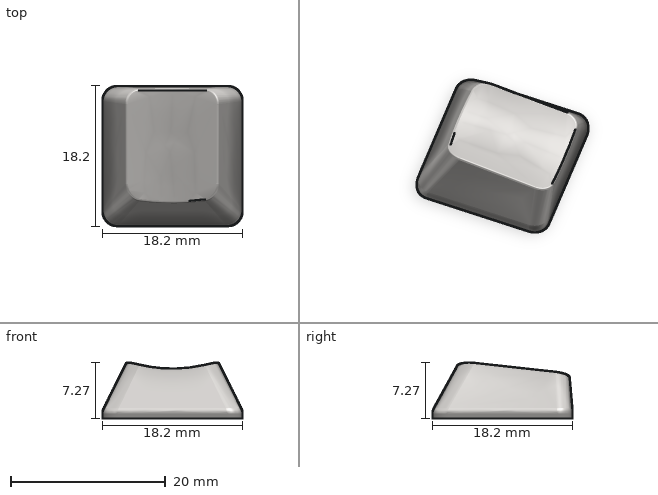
import cadquery as cq
import math

base_size = 18.16
corner_radius = 2.0
skirt_height = 0.65
blend_height = 0.73
blend_sections = 4

top_width = 11.8
top_front = -5.45
top_back = 8.65
top_tilt = 6.4
top_height = 7.0

dish_front_radius = 16.35
dish_front_bottom = 6.81
dish_back_radius = 21.07
dish_back_bottom = 5.03

rim_radius = 0.29

tilt_angle = math.radians(top_tilt)
tilt_cos = math.cos(tilt_angle)
tilt_tan = math.tan(tilt_angle)
half_base = base_size / 2

bend_height = skirt_height + blend_height / 2
side_lean = (half_base - top_width / 2) / (top_height - bend_height)
front_lean = (half_base + top_front) / (top_height - top_front * tilt_tan - bend_height)
back_lean = (half_base - top_back) / (top_height - top_back * tilt_tan - bend_height)


def rounded_outline(plane, width, front, back):
    """Rounded rectangle centred on X, reaching from front to back along the plane's Y."""
    outline = cq.Sketch().rect(width, back - front).vertices().fillet(corner_radius).reset()
    centred = outline.moved(cq.Location(cq.Vector(0, (front + back) / 2, 0)))
    return centred.faces().val().moved(plane.location).outerWire()


def blend_outline(fraction):
    """Outline partway up the bend; the inset is a parabola, tangent to skirt and walls."""
    run = blend_height / 2 * fraction**2
    plane = cq.Plane(origin=(0, 0, skirt_height + blend_height * fraction))
    return rounded_outline(
        plane,
        base_size - 2 * side_lean * run,
        front_lean * run - half_base,
        half_base - back_lean * run,
    )


def make_body():
    tilted = cq.Plane(
        origin=(0, 0, top_height),
        xDir=(1, 0, 0),
        normal=(0, math.sin(tilt_angle), tilt_cos),
    )
    base = rounded_outline(cq.Plane.XY(), base_size, -half_base, half_base)
    top = rounded_outline(tilted, top_width, top_front / tilt_cos, top_back / tilt_cos)
    bends = [blend_outline(i / (blend_sections - 1)) for i in range(blend_sections)]

    skirt = cq.Solid.makeLoft([base, bends[0]], True)
    bend = cq.Solid.makeLoft(bends)
    walls = cq.Solid.makeLoft([bends[-1], top], True)
    return cq.Workplane(skirt).union(cq.Workplane(bend)).union(cq.Workplane(walls))


def dish_circle(y, radius, bottom):
    """Upright circle facing along Y, with its lowest point at the given height."""
    centre = cq.Vector(0, y, bottom + radius)
    return cq.Wire.makeCircle(radius, centre, cq.Vector(0, 1, 0))


def cut_dish(body):
    """Hollow the top with a cone that widens and falls towards the back."""
    front = dish_circle(-half_base, dish_front_radius, dish_front_bottom)
    back = dish_circle(half_base, dish_back_radius, dish_back_bottom)
    return body.cut(cq.Workplane(cq.Solid.makeLoft([front, back], True)))


def round_rim(body):
    return body.faces(">Z").edges().fillet(rim_radius)


result = round_rim(cut_dish(make_body()))